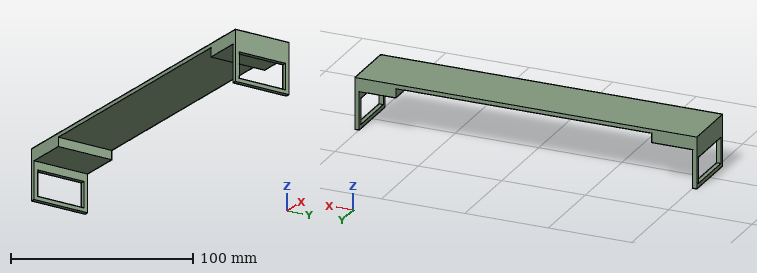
import cadquery as cq

length = 205.0
width = 35.0
height = 31.0

plate_thickness = 2.5
block_depth = 8.0
left_block_length = 27.0
right_block_length = 24.5

leg_thickness = 2.7
frame_width = 2.5
window_top_drop = 13.0
window_width = width - 2 * frame_width
window_height = height - window_top_drop - frame_width


def bridge_profile():
    """Side outline of the plate, blocks and legs, with the feet at Z = 0."""
    block_bottom = height - block_depth
    plate_bottom = height - plate_thickness
    left_block_end = -length / 2 + left_block_length
    right_block_end = length / 2 - right_block_length
    left_leg_inside = -length / 2 + leg_thickness
    right_leg_inside = length / 2 - leg_thickness
    return [
        (-length / 2, 0),
        (-length / 2, height),
        (length / 2, height),
        (length / 2, 0),
        (right_leg_inside, 0),
        (right_leg_inside, block_bottom),
        (right_block_end, block_bottom),
        (right_block_end, plate_bottom),
        (left_block_end, plate_bottom),
        (left_block_end, block_bottom),
        (left_leg_inside, block_bottom),
        (left_leg_inside, 0),
    ]


bridge = cq.Workplane("XZ").polyline(bridge_profile()).close().extrude(width / 2, both=True)

window = (
    cq.Workplane("XY")
    .box(length, window_width, window_height, centered=(True, True, False))
    .translate((0, 0, frame_width))
)

result = bridge.cut(window)